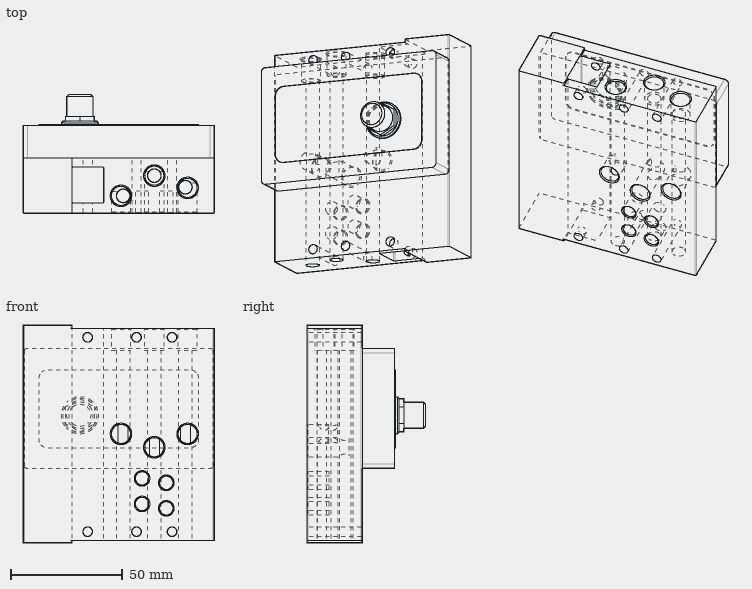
import cadquery as cq
import math

TO_BACK = (0, 1, 0)
DOWN = (0, 0, -1)


block_width = 86.0
block_depth = 25.0
block_height = 98.0
side_edge_radius = 0.5

tall_width = 22.0
top_step = 1.5
bottom_step = 1.0
low_top = block_height - top_step

duct_width = 14.2
duct_depth = 16.2
duct_front_wall = 4.7
duct_corner_radius = 0.5

mounting_hole_diameter = 4.2
mounting_hole_xs = (29.0, 51.0, 67.0)
mounting_hole_inset = 4.0
mounting_hole_zs = (bottom_step + mounting_hole_inset, low_top - mounting_hole_inset)

port_diameter = 8.6
port_mouth_diameter = 9.7
end_port_depth = 10.0
channel_diameter = 6.0
channel_opening = 4.5
port_lines = (
    (44.0, 7.9, 45.0, 7.9, 44.0, 49.0),
    (59.0, 17.0, 59.0, 17.0, 59.0, 43.0),
    (74.0, 11.5, 73.0, 11.8, 74.0, 49.0),
)

small_port_diameter = 6.0
small_port_mouth_diameter = 7.0
small_port_depth = 10.0
small_port_columns = ((53.5, 29.0), (64.4, 27.0))
small_port_spacing = 11.5

housing_depth = 14.6
housing_bottom = 33.5
housing_height = 54.0
housing_corner_radius = 2.0
housing_back = block_depth + housing_depth

plate_width = 72.0
plate_height = 35.2
plate_bottom = 42.7
plate_thickness = 0.4
plate_corner_radius = 4.0
plate_back = housing_back + plate_thickness

plug_x = 25.5
plug_z = 57.4
flange_diameter = 16.7
flange_thickness = 1.5
flange_chamfer = 0.7
nut_across_flats = 13.0
nut_thickness = 2.2
plug_diameter = 11.9
plug_chamfer = 1.0
overall_depth = 53.55


def box(x, y, z, width, depth, height):
    return cq.Workplane("XY").box(width, depth, height, centered=False).translate((x, y, z))


def cylinder(start, direction, diameter, length):
    solid = cq.Solid.makeCylinder(diameter / 2, length, cq.Vector(*start), cq.Vector(*direction))
    return cq.Workplane(solid)


def countersunk_bore(mouth, direction, diameter, mouth_diameter, depth):
    sink_depth = (mouth_diameter - diameter) / 2
    sink = cq.Solid.makeCone(
        mouth_diameter / 2, diameter / 2, sink_depth, cq.Vector(*mouth), cq.Vector(*direction)
    )
    return cylinder(mouth, direction, diameter, depth).union(cq.Workplane(sink))


def rounded_slab(x, y, z, width, depth, height, radius):
    return box(x, y, z, width, depth, height).edges("|Y").fillet(radius)


def make_block():
    tall_stretch = box(0, 0, 0, tall_width, block_depth, block_height)
    tall_stretch = tall_stretch.edges("|Z").fillet(side_edge_radius)
    low_left = tall_width - side_edge_radius
    low_stretch = box(
        low_left, 0, bottom_step, block_width - low_left, block_depth, low_top - bottom_step)
    low_stretch = low_stretch.edges("|Z and >X").fillet(side_edge_radius)
    duct = box(tall_width, duct_front_wall, 0, duct_width, duct_depth, block_height)
    duct = duct.edges("|Z").fillet(duct_corner_radius)
    return tall_stretch.union(low_stretch).cut(duct)


def cut_mounting_holes(block):
    for x in mounting_hole_xs:
        for z in mounting_hole_zs:
            block = block.cut(cylinder((x, 0, z), TO_BACK, mounting_hole_diameter, block_depth))
    return block


def cut_port_lines(block):
    overlap = math.sqrt(channel_diameter**2 - channel_opening**2) / 2
    for end_x, end_y, channel_x, channel_y, front_x, front_z in port_lines:
        block = block.cut(cylinder((channel_x, channel_y, low_top), DOWN, channel_diameter, low_top))
        block = block.cut(countersunk_bore(
            (end_x, end_y, low_top), DOWN, port_diameter, port_mouth_diameter, end_port_depth))
        block = block.cut(countersunk_bore(
            (front_x, 0, front_z), TO_BACK, port_diameter, port_mouth_diameter, channel_y + overlap))
    return block


def cut_small_ports(block):
    for x, upper_z in small_port_columns:
        for z in (upper_z, upper_z - small_port_spacing):
            block = block.cut(countersunk_bore(
                (x, 0, z), TO_BACK, small_port_diameter, small_port_mouth_diameter, small_port_depth))
    return block


def make_housing():
    housing = rounded_slab(
        0, block_depth, housing_bottom, block_width, housing_depth, housing_height, housing_corner_radius)
    plate = rounded_slab(
        (block_width - plate_width) / 2, housing_back, plate_bottom,
        plate_width, plate_thickness, plate_height, plate_corner_radius)
    return housing.union(plate)


def make_plug():
    flange_back = plate_back + flange_thickness
    nut_back = flange_back + nut_thickness
    flange = cylinder((plug_x, plate_back, plug_z), TO_BACK, flange_diameter, flange_thickness)
    flange = flange.faces(">Y").chamfer(flange_chamfer)
    nut_across_corners = nut_across_flats / math.cos(math.radians(30))
    nut = cq.Workplane("XY").polygon(6, nut_across_corners).extrude(nut_thickness)
    nut = nut.rotate((0, 0, 0), (0, 0, 1), 90).rotate((0, 0, 0), (1, 0, 0), -90)
    nut = nut.translate((plug_x, flange_back, plug_z))
    barrel = cylinder((plug_x, nut_back, plug_z), TO_BACK, plug_diameter, overall_depth - nut_back)
    barrel = barrel.faces(">Y").chamfer(plug_chamfer)
    return flange.union(nut).union(barrel)


manifold = cut_small_ports(cut_port_lines(cut_mounting_holes(make_block())))
result = manifold.union(make_housing()).union(make_plug())